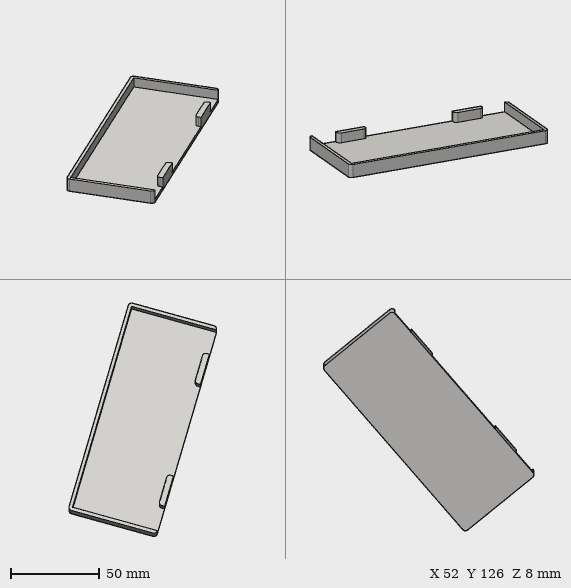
import cadquery as cq

width = 52.0
length = 126.0
height = 8.0

wall = 2.0
floor = 2.0
corner_radius = 2.0

tab_depth = 3.5
tab_length = 18.4
tab_radius = 2.0
tab_spacing = 74.0

outline = cq.Workplane("XY").box(width, length, height, centered=(True, True, False))
outline = outline.edges("|Z").fillet(corner_radius)

cavity = (
    cq.Workplane("XY", origin=(-width / 2 + wall, 0, floor))
    .box(width, length - 2 * wall, height, centered=(False, True, False))
)


def edge_tab(y):
    """Upright tab flush with the +X side, rounded on its inner corners."""
    tab = (
        cq.Workplane("XY", origin=(width / 2 - tab_depth, y, 0))
        .box(tab_depth, tab_length, height, centered=(False, True, False))
    )
    return tab.edges("|Z and <X").fillet(tab_radius)


result = outline.cut(cavity)
for side in (-1, 1):
    result = result.union(edge_tab(side * tab_spacing / 2))